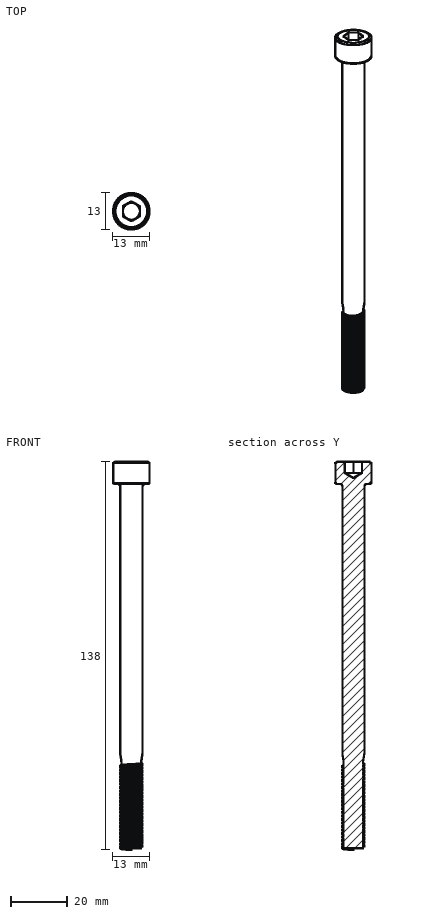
import cadquery as cq
import math


total_length = 138.0
head_diameter = 13.0
head_height = 8.0
head_top_chamfer_width = 0.8
head_top_chamfer_height = 0.5
head_bottom_chamfer = 0.4

socket_across_flats = 6.1
socket_depth = 4.0
socket_floor_angle = 120.0

shank_diameter = 8.0
under_head_fillet = 0.8
neck_length = 3.0

thread_diameter = shank_diameter
thread_core_diameter = 7.0
thread_pitch = 1.25
thread_turns = 24
crest_width = thread_pitch / 4
root_width = thread_pitch / 4
ridge_embed = 0.1

head_radius = head_diameter / 2
shank_radius = shank_diameter / 2
thread_radius = thread_diameter / 2
core_radius = thread_core_diameter / 2
head_bottom = total_length - head_height

ridge_base_width = thread_pitch - root_width
flank_slope = (ridge_base_width - crest_width) / (thread_radius - core_radius)
embedded_width = ridge_base_width + flank_slope * ridge_embed

core_bottom = embedded_width / 2
thread_length = thread_turns * thread_pitch
neck_bottom = core_bottom + thread_length + embedded_width / 2
shank_bottom = neck_bottom + neck_length


def make_body():
    """Revolve the head, shank, neck and thread core as one profile."""
    profile = (
        cq.Workplane("XZ")
        .moveTo(0, core_bottom)
        .lineTo(core_radius, core_bottom)
        .lineTo(core_radius, neck_bottom)
        .lineTo(shank_radius, shank_bottom)
        .lineTo(shank_radius, head_bottom - under_head_fillet)
        .radiusArc((shank_radius + under_head_fillet, head_bottom), under_head_fillet)
        .lineTo(head_radius - head_bottom_chamfer, head_bottom)
        .lineTo(head_radius, head_bottom + head_bottom_chamfer)
        .lineTo(head_radius, total_length - head_top_chamfer_height)
        .lineTo(head_radius - head_top_chamfer_width, total_length)
        .lineTo(0, total_length)
        .close()
    )
    return profile.revolve(360, (0, 0, 0), (0, 1, 0))


def make_socket():
    """Hexagonal prism with two corners on the Y axis, ending in a cone inside its flats."""
    across_corners = socket_across_flats / math.cos(math.pi / 6)
    socket_floor = total_length - socket_depth
    prism = (
        cq.Workplane("XY", origin=(0, 0, socket_floor))
        .transformed(rotate=(0, 0, 90))
        .polygon(6, across_corners)
        .extrude(socket_depth)
    )
    cone_radius = socket_across_flats / 2
    cone_depth = cone_radius / math.tan(math.radians(socket_floor_angle / 2))
    cone = (
        cq.Workplane("XZ", origin=(0, 0, socket_floor))
        .polyline([(0, 0), (cone_radius, 0), (0, -cone_depth)])
        .close()
        .revolve(360, (0, 0, 0), (0, 1, 0))
    )
    return prism.union(cone)


def make_thread():
    """Sweep a right-hand ridge up the core, starting on the +Y side."""
    inner_radius = core_radius - ridge_embed
    path = cq.Wire.makeHelix(thread_pitch, thread_length, inner_radius)
    ridge = (
        cq.Workplane("XZ")
        .polyline([
            (inner_radius, -embedded_width / 2),
            (thread_radius, -crest_width / 2),
            (thread_radius, crest_width / 2),
            (inner_radius, embedded_width / 2),
        ])
        .close()
        .sweep(cq.Workplane(path), isFrenet=True)
    )
    return ridge.rotate((0, 0, 0), (0, 0, 1), 90).translate((0, 0, core_bottom))


result = make_body().cut(make_socket()).union(make_thread())